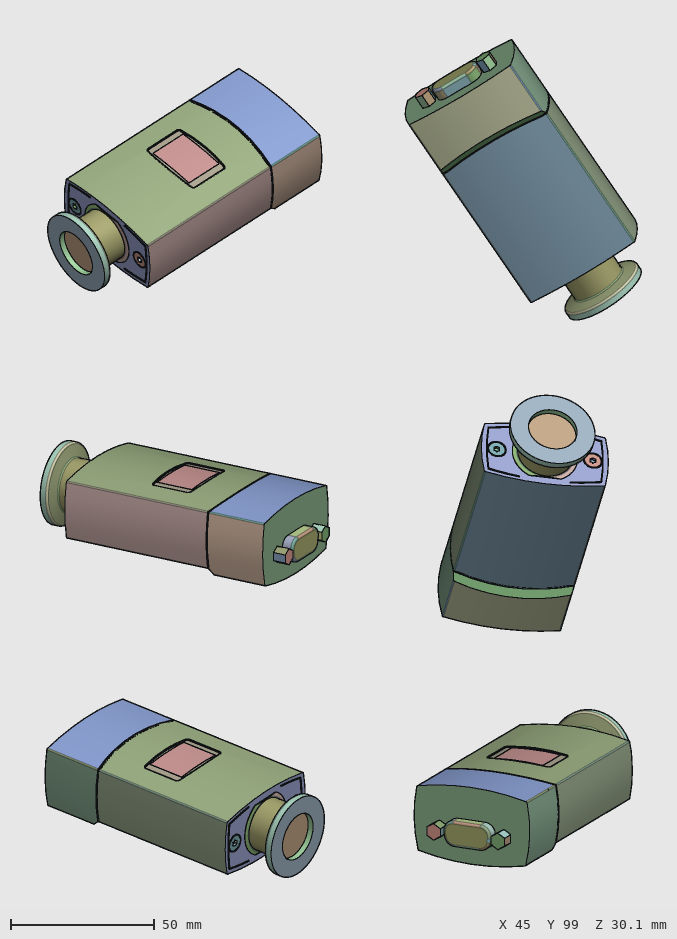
import cadquery as cq
import math

housing_front = 14.4
split_y = 71.7
housing_back = 94.2
standoff_end = 99.0
connector_end = 98.45

half_width = 22.5
half_height = 12.92
corner_x = 21.4
corner_z = 10.6
corner_radius = 0.6
cap_drop = 2.18

groove_width = 0.35
groove_depth = 0.35

overlap = 1.0

panel_half_width = 20.7
panel_half_height = 11.5
panel_corner_x = 20.1
panel_corner_z = 9.2
seam_width = 0.25
seam_depth = 0.3
seam_break = 18.0
screw_x = 17.0
screw_head_diameter = 6.0
screw_seat_diameter = 6.6
screw_gap_depth = 0.5
socket_diameter = 2.3
socket_depth = 1.0

flange_radius = 15.0
flange_rim = 2.2
flange_shoulder_round = 0.8
flange_cone_angle = 15.0
neck_radius = 9.75
neck_blend_round = 0.5
collar_end = 13.95
collar_tip_radius = 10.15
collar_root_radius = 11.6
collar_root_y = 14.25
collar_flat_z = 10.1
bore_radius = 8.6
bore_depth = 2.2

window_center_y = 51.0
window_width = 24.8
window_length = 16.8
window_side_length = 15.2
window_corner_radius = 1.2
window_gap = 0.3
window_gap_depth = 0.5
window_drop = 0.25
screen_width = 18.9
screen_length = 14.0
screen_depth = 0.1

connector_z = -3.65
connector_top_half_width = 9.85
connector_bottom_half_width = 8.25
connector_height = 9.3
connector_corner_radius = 3.9
connector_edge_radius = 0.9
standoff_spacing = 25.0
standoff_diameter = 6.05


def arc_radius(chord_half, rise):
    """Radius of an arc from half of its chord and its rise."""
    return (chord_half**2 + rise**2) / (2 * rise)


def bowed_outline(y, width, height, edge_x, edge_z, drop=0.0):
    """Barrel-shaped outline at station y; drop lowers the bottom side along the same side arcs."""
    side_radius = arc_radius(edge_z, width - edge_x)
    low_z = -edge_z - drop
    low_x = width - side_radius + math.sqrt(side_radius**2 - low_z**2)
    return (
        cq.Workplane("XZ", origin=(0, y, 0))
        .moveTo(-edge_x, edge_z)
        .threePointArc((0, height), (edge_x, edge_z))
        .threePointArc((width, 0), (low_x, low_z))
        .threePointArc((0, -height - drop), (-low_x, low_z))
        .threePointArc((-width, 0), (-edge_x, edge_z))
        .close()
    )


def housing_prism(start, end, inset=0.0, drop=0.0):
    outline = bowed_outline(
        start, half_width - inset, half_height - inset, corner_x - inset, corner_z - inset, drop
    )
    return outline.extrude(start - end).edges("|Y").fillet(corner_radius)


def cap_zone(front):
    """Space behind the split: upright in the middle, sloping back at 45 degrees above and below."""
    slope = half_height
    return (
        cq.Workplane("YZ")
        .moveTo(front, corner_z)
        .lineTo(front + slope, corner_z + slope)
        .lineTo(housing_back, corner_z + slope)
        .lineTo(housing_back, -corner_z - slope)
        .lineTo(front + slope, -corner_z - slope)
        .lineTo(front, -corner_z)
        .close()
        .extrude(half_width + overlap, both=True)
    )


def make_housing():
    body = housing_prism(housing_front, housing_back).cut(cap_zone(split_y - groove_width))
    cap = housing_prism(split_y, housing_back, drop=cap_drop).intersect(cap_zone(split_y))
    core = housing_prism(housing_front + overlap, housing_back - overlap, inset=groove_depth)
    return body.union(core).union(cap)


def panel_prism(inset):
    return bowed_outline(
        housing_front,
        panel_half_width - inset,
        panel_half_height - inset,
        panel_corner_x - inset,
        panel_corner_z - inset,
    ).extrude(-seam_depth)


def cut_front_panel(part):
    seam = panel_prism(0).cut(panel_prism(seam_width))
    seam = seam.cut(cq.Workplane("XY").box(seam_break, 2 * housing_back, 2 * half_height))
    part = part.cut(seam)
    screws = cq.Workplane("XZ", origin=(0, housing_front, 0)).pushPoints([(-screw_x, 0), (screw_x, 0)])
    gaps = screws.circle(screw_seat_diameter / 2).circle(screw_head_diameter / 2)
    part = part.cut(gaps.extrude(-screw_gap_depth))
    for x in (-screw_x, screw_x):
        socket = (
            cq.Workplane("XZ", origin=(x, housing_front, 0))
            .transformed(rotate=(0, 0, 90))
            .polygon(6, socket_diameter)
            .extrude(-socket_depth)
        )
        part = part.cut(socket)
    return part


def window_prism(inset):
    """Upright prism of the window outline, whose front and back sides bow outward."""
    x = window_width / 2 - inset
    side = window_side_length / 2 - inset
    middle = window_length / 2 - inset
    return (
        cq.Workplane("XY", origin=(0, window_center_y, 0))
        .moveTo(-x, -side)
        .threePointArc((0, -middle), (x, -side))
        .lineTo(x, side)
        .threePointArc((0, middle), (-x, side))
        .close()
        .extrude(half_height + overlap)
        .edges("|Z")
        .fillet(window_corner_radius - inset)
    )


def below_crown(depth):
    """Housing section lowered by depth, long enough to lie under the whole window."""
    prism = bowed_outline(housing_front, half_width, half_height, corner_x, corner_z).extrude(
        housing_front - split_y
    )
    return prism.translate((0, 0, -depth))


def cut_window(part):
    gap = window_prism(0).cut(window_prism(window_gap)).cut(below_crown(window_gap_depth))
    pane = window_prism(window_gap / 2).cut(below_crown(window_drop))
    screen = (
        cq.Workplane("XY", origin=(0, window_center_y, 0))
        .rect(screen_width, screen_length)
        .extrude(half_height + overlap)
        .cut(below_crown(window_drop + screen_depth))
    )
    return part.cut(gap).cut(pane).cut(screen)


def make_flange():
    cone_angle = math.radians(flange_cone_angle)
    shoulder_inset = flange_shoulder_round * (1 - math.sin(cone_angle))
    shoulder_rise = flange_shoulder_round * math.cos(cone_angle)
    blend_start_radius = neck_radius + neck_blend_round * (1 - math.sin(cone_angle))
    cone_run = flange_radius - shoulder_inset - blend_start_radius
    blend_start_y = flange_rim + shoulder_rise + cone_run * math.tan(cone_angle)
    blend_end_y = blend_start_y + neck_blend_round * math.cos(cone_angle)
    seat = housing_front + overlap
    flange = (
        cq.Workplane("XY")
        .moveTo(0, bore_depth)
        .lineTo(bore_radius, bore_depth)
        .lineTo(bore_radius, 0)
        .lineTo(flange_radius, 0)
        .lineTo(flange_radius, flange_rim)
        .tangentArcPoint((flange_radius - shoulder_inset, flange_rim + shoulder_rise), relative=False)
        .lineTo(blend_start_radius, blend_start_y)
        .tangentArcPoint((neck_radius, blend_end_y), relative=False)
        .lineTo(neck_radius, seat)
        .lineTo(0, seat)
        .close()
        .revolve(360, (0, 0, 0), (0, 1, 0))
    )
    collar = (
        cq.Workplane("XY")
        .moveTo(0, collar_end)
        .lineTo(collar_tip_radius, collar_end)
        .lineTo(collar_root_radius, collar_root_y)
        .lineTo(collar_root_radius, seat)
        .lineTo(0, seat)
        .close()
        .revolve(360, (0, 0, 0), (0, 1, 0))
    )
    flats = cq.Workplane("XY").box(2 * collar_root_radius, 2 * seat, 2 * collar_flat_z)
    return flange.union(collar.intersect(flats))


def make_connector():
    top = connector_z + connector_height / 2
    bottom = connector_z - connector_height / 2
    shell = (
        cq.Workplane("XZ", origin=(0, housing_back, 0))
        .moveTo(-connector_top_half_width, top)
        .lineTo(connector_top_half_width, top)
        .lineTo(connector_bottom_half_width, bottom)
        .lineTo(-connector_bottom_half_width, bottom)
        .close()
        .extrude(housing_back - connector_end)
        .edges("|Y")
        .fillet(connector_corner_radius)
        .faces(">Y")
        .edges()
        .fillet(connector_edge_radius)
    )
    for side in (-1, 1):
        standoff = (
            cq.Workplane("XZ", origin=(side * standoff_spacing / 2, housing_back, connector_z))
            .transformed(rotate=(0, 0, 90))
            .polygon(6, standoff_diameter)
            .extrude(housing_back - standoff_end)
        )
        shell = shell.union(standoff)
    return shell


housing = cut_window(cut_front_panel(make_housing()))
result = housing.union(make_flange()).union(make_connector())